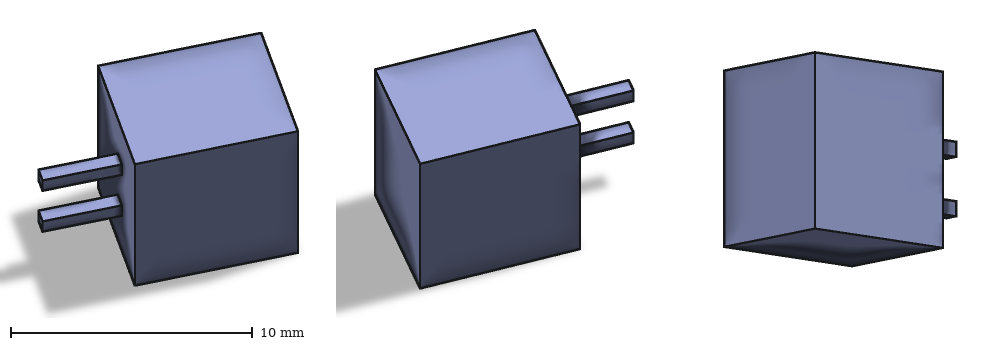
import cadquery as cq

body_width = 5.75
body_height = 7.4
total_depth = 10.4
pin_length = 3.4
body_depth = total_depth - pin_length

pin_size = 0.63
pin_pitch = 2.5
pin_from_left_side = 3.4
pin_x = pin_from_left_side - body_width / 2

body = cq.Workplane("XY").box(body_width, body_depth, body_height, centered=(True, False, True))


def make_pin(center_z):
    """Square pin from the pin face to the tip at Y = -pin_length."""
    return (
        cq.Workplane("XZ")
        .center(pin_x, center_z)
        .rect(pin_size, pin_size)
        .extrude(pin_length)
    )


result = body
for side in (-1, 1):
    result = result.union(make_pin(side * pin_pitch / 2))